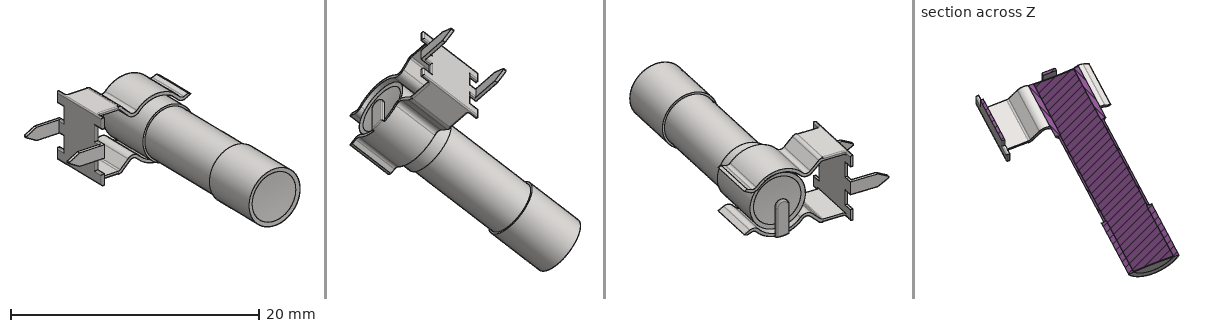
import cadquery as cq
import math


fuse_start_x = 1.23
fuse_end_x = 20.9
fuse_middle_x = (fuse_start_x + fuse_end_x) / 2
cap_length = 5.35
cap_radius = 2.57
tube_radius = 2.38
core_radius = 2.2
cap_end_wall = 0.06
dish_depth = 0.08
dish_radius = (cap_radius**2 + dish_depth**2) / (2 * dish_depth)

sheet = 0.3
edge_round = 0.1
plate_width = 6.08
plate_height = 6.1
plate_front_y = -6.33
plate_back_y = plate_front_y + sheet
arm_start_x = 0.9
arm_width = 4.28
arm_end_x = arm_start_x + arm_width
notch_top = 2.03
root_round = 0.17

hump_radius = 2.93
hump_center = (0.0, 0.17)
inner_dip_radius = 0.48
inner_dip_y = -2.49
lip_dip_radius = 0.38
lip_dip_y = 2.47
bend_radius = 0.56
bend_y = -4.0
lip_tip_outer = (3.03, 2.17)
lip_tip_inner = (3.3, 2.05)

pin_half_height = 0.6
pin_shoulder_y = -8.57
pin_tip_y = -9.6
pin_tip_half_height = 0.06

tab_width = 1.21
tab_center_y = -0.15
tab_top_z = 0.3

touching = 2.09e-07


def on_circle(center, radius, angle):
    """Point (y, z) at an angle in degrees from +Y."""
    turn = math.radians(angle)
    return (center[0] + radius * math.cos(turn), center[1] + radius * math.sin(turn))


def direction(start, end):
    """Angle in degrees, measured from +Y, of the line from start to end."""
    return math.degrees(math.atan2(end[1] - start[1], end[0] - start[0]))


def dip_center(dip_y, dip_radius):
    """Centre of a dip that touches the hump from outside."""
    reach = hump_radius + dip_radius
    offset_y = dip_y - hump_center[0]
    return (dip_y, hump_center[1] + math.sqrt(reach**2 - offset_y**2))


def lip_angle(center, radius, tip):
    """Angle of the point of the lip dip from which a straight lip reaches the tip."""
    return direction(center, tip) - math.degrees(math.acos(radius / math.dist(center, tip)))


def arm_arcs(depth):
    """Arcs (centre, radius, start angle, end angle) of the arm surface at a depth in the sheet."""
    bend_center = (bend_y, plate_height / 2 - bend_radius)
    inner_dip = dip_center(inner_dip_y, inner_dip_radius)
    lip_dip = dip_center(lip_dip_y, lip_dip_radius)
    lean = math.degrees(
        math.acos((bend_radius + inner_dip_radius) / math.dist(bend_center, inner_dip))
    )
    slope = direction(bend_center, inner_dip) + lean
    inner_joint = direction(hump_center, inner_dip)
    lip_joint = direction(hump_center, lip_dip)
    tip = lip_tip_inner if depth > 0 else lip_tip_outer
    lip_radius = lip_dip_radius + depth
    return [
        (bend_center, bend_radius - depth, 90, slope),
        (inner_dip, inner_dip_radius + depth, slope - 180, inner_joint - 180),
        (hump_center, hump_radius - depth, inner_joint, lip_joint),
        (lip_dip, lip_radius, lip_joint - 180, lip_angle(lip_dip, lip_radius, tip)),
    ]


def trace(sketch, arcs, here):
    """Draw the arcs one after the other from a point, adding straight lines where they do not meet."""
    for center, radius, start, end in arcs:
        first = on_circle(center, radius, start)
        if math.dist(here, first) > touching:
            sketch = sketch.lineTo(*first)
        here = on_circle(center, radius, end)
        sketch = sketch.threePointArc(on_circle(center, radius, (start + end) / 2), here)
    return sketch


def make_spring():
    """Curved part of the upper arm, from the bend to the lip."""
    outer = arm_arcs(0)
    inner = [(center, radius, end, start) for center, radius, start, end in reversed(arm_arcs(sheet))]
    bend_start = (bend_y, plate_height / 2)
    sketch = cq.Workplane("YZ", origin=(arm_start_x, 0, 0)).moveTo(*bend_start)
    sketch = trace(sketch, outer, bend_start).lineTo(*lip_tip_outer).lineTo(*lip_tip_inner)
    return trace(sketch, inner, lip_tip_inner).close().extrude(arm_width)


def make_strap():
    """Flat part of the upper arm, between the base plate and the bend."""
    return (
        cq.Workplane("XY", origin=(arm_start_x, plate_back_y, plate_height / 2 - sheet))
        .rect(arm_width, bend_y - plate_back_y, centered=False)
        .extrude(sheet)
    )


def make_plate():
    """Base plate with two notches on each side, its front edges rounded."""
    plate = (
        cq.Workplane("XZ", origin=(0, plate_back_y, -plate_height / 2))
        .rect(plate_width, plate_height, centered=False)
        .extrude(sheet)
    )
    notch_height = notch_top - pin_half_height
    notch_z = (notch_top + pin_half_height) / 2
    for x in (arm_start_x / 2, plate_width - arm_start_x / 2):
        for z in (-notch_z, notch_z):
            notch = cq.Workplane("XY").box(arm_start_x, sheet, notch_height)
            plate = plate.cut(notch.translate((x, plate_back_y - sheet / 2, z)))
    return plate.faces("<Y").edges().fillet(edge_round)


def make_pin(start_x):
    """Pointed solder pin bent off a lug of the base plate."""
    half_outline = [
        (plate_back_y, pin_half_height),
        (pin_shoulder_y, pin_half_height),
        (pin_tip_y, pin_tip_half_height),
    ]
    mirrored = [(y, -z) for y, z in reversed(half_outline)]
    return cq.Workplane("YZ", origin=(start_x, 0, 0)).polyline(half_outline + mirrored).close().extrude(sheet)


def make_tab():
    """Round-topped stop tab on the edge of the lower arm, trimmed to the hump of that arm."""
    radius = tab_width / 2
    tab = (
        cq.Workplane("YZ", origin=(arm_start_x - sheet, 0, 0))
        .moveTo(tab_center_y - radius, -hump_radius - sheet)
        .lineTo(tab_center_y - radius, tab_top_z - radius)
        .threePointArc((tab_center_y, tab_top_z), (tab_center_y + radius, tab_top_z - radius))
        .lineTo(tab_center_y + radius, -hump_radius - sheet)
        .close()
        .extrude(sheet)
    )
    hump_disc = (
        cq.Workplane("YZ", origin=(arm_start_x - sheet, hump_center[0], -hump_center[1]))
        .circle(hump_radius)
        .extrude(sheet)
    )
    return tab.intersect(hump_disc).faces("<X").edges().fillet(edge_round)


def round_strap(base, side):
    """Fillet the corners between a strap and the plate, then the outer edges of the strap and these corners."""
    outer_z = side * plate_height / 2
    for root_x in (arm_start_x, arm_end_x):
        corner = cq.selectors.NearestToPointSelector((root_x, plate_back_y, outer_z - side * sheet / 2))
        base = base.edges("|Z").edges(corner).fillet(root_round)
    for edge_x in (arm_start_x, arm_end_x):
        outer_edge = cq.selectors.NearestToPointSelector((edge_x, (plate_back_y + bend_y) / 2, outer_z))
        base = base.edges("|Y").edges(outer_edge).fillet(edge_round)
    return base


def make_clip():
    """Clip of one folded sheet: base plate, two mirrored arms, two pins and the stop tab."""
    strap = make_strap()
    clip = make_plate().union(strap).union(strap.mirror("XY"))
    for side in (-1, 1):
        clip = round_strap(clip, side)
    spring = make_spring()
    clip = clip.union(spring).union(spring.mirror("XY"))
    for start_x in (0, plate_width - sheet):
        clip = clip.union(make_pin(start_x))
    return clip.union(make_tab())


def make_dished_rod(dish_start_x, end_x, radius):
    """Rod along X, turned, with a start hollowed by a dish whose full-width rim is at dish_start_x."""

    def dish_x(distance):
        """Position of the dish surface at a distance from the axis."""
        return dish_start_x + dish_depth - dish_radius + math.sqrt(dish_radius**2 - distance**2)

    return (
        cq.Workplane("XY")
        .moveTo(dish_x(0), 0)
        .threePointArc((dish_x(radius / 2), radius / 2), (dish_x(radius), radius))
        .lineTo(end_x, radius)
        .lineTo(end_x, 0)
        .close()
        .revolve(360, (0, 0, 0), (1, 0, 0))
    )


def mirror_along_fuse(body):
    """Copy of a body turned end for end about the middle of the fuse."""
    return body.mirror("YZ", (fuse_middle_x, 0, 0))


def make_core():
    """Core inside the tube and both caps, its ends dished like the caps."""
    half = make_dished_rod(fuse_start_x + cap_end_wall, fuse_middle_x, core_radius)
    return half.union(mirror_along_fuse(half))


def make_tube():
    """Tube around the core, between the two caps."""
    tube_start_x = fuse_start_x + cap_length
    tube_end_x = fuse_end_x - cap_length
    return (
        cq.Workplane("YZ", origin=(tube_start_x, 0, 0))
        .circle(tube_radius)
        .circle(core_radius)
        .extrude(tube_end_x - tube_start_x)
    )


def make_cap(at_far_end):
    """End cap with a dished outer face and a bore for the core."""
    cap = make_dished_rod(fuse_start_x, fuse_start_x + cap_length, cap_radius).cut(make_core())
    return mirror_along_fuse(cap) if at_far_end else cap


clip = make_clip()
tube = make_tube()
core = make_core()
caps = [make_cap(at_far_end) for at_far_end in (False, True)]

result = cq.Compound.makeCompound([clip.val(), tube.val(), core.val(), *[cap.val() for cap in caps]])